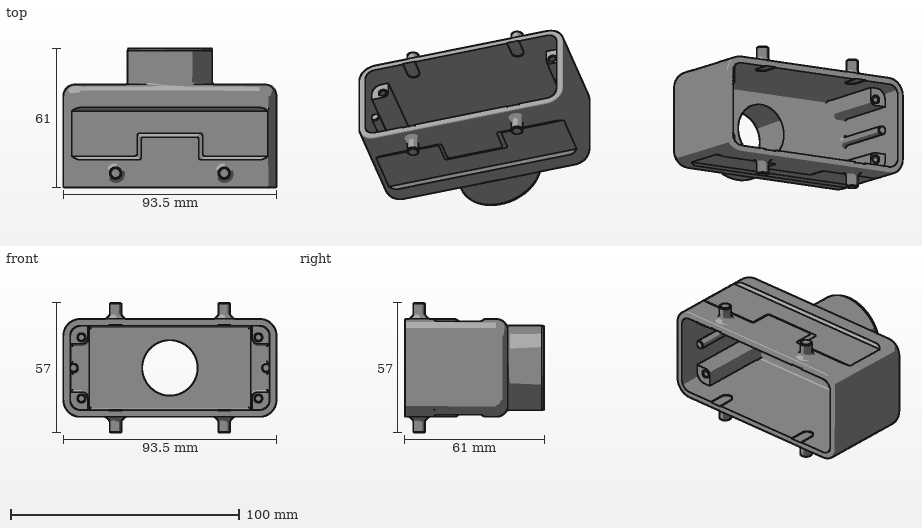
import cadquery as cq
import math

LENGTH = 93.5
HEIGHT = 43.0
DEPTH = 45.2
CORNER_RADIUS = 7.5
BACK_FILLET = 5.2
RIM_FILLET = 0.6

ENTRY_DIAMETER = 37.3
ENTRY_BORE = 24.2
TOTAL_DEPTH = 61.0
ENTRY_CHAMFER_LENGTH = 1.0
ENTRY_CHAMFER_INSET = 0.4
ENTRY_ROOT_FILLET = 0.8

WALL = 3.0
DRAFT = 0.75
FLOOR_Y = DEPTH - WALL
LEDGE_RISE = 3.0
LEDGE_Y = FLOOR_Y - LEDGE_RISE
CENTRAL_HALF_LENGTH = 35.35
FLOOR_FILLET = 0.9
LEDGE_FILLET = 0.9

POST_FACE_Y = 9.8
POST_INNER_X = 36.1
POST_INNER_Z = 10.6
POST_CORNER_RADIUS = 2.4
SCREW_X = 38.75
SCREW_Z = 13.4
SCREW_BORE = 2.9
SCREW_CHAMFER = 0.4
SCREW_CHAMFER_ANGLE = 45.0
SCREW_DEPTH = 12.0
RIB_X = 42.2
RIB_RADIUS = 1.9
RIB_ROOT_FILLET = 1.1
RIB_TIP_CHAMFER = 0.3

PIN_X = 23.8
PIN_Y = 6.3
PIN_DIAMETER = 5.2
PIN_SPAN = 57.0
PIN_TIP_CHAMFER = 0.5
PIN_CONE_RADIUS = 4.25
PIN_CONE_ANGLE = 45.0
PIN_UPPER_BLEND = 1.5
PIN_LOWER_BLEND = 1.1
PIN_RELIEF_WIDTH = 5.4
PIN_RELIEF_DEPTH = 0.3
PIN_RELIEF_END_Y = 9.6

PANEL_DEPTH = 0.97
PANEL_SLOPE = 60.0
PANEL_FRONT_Y = 13.8
PANEL_BACK_Y = 33.4
TAB_HALF_WIDTH = 14.3
TAB_BACK_Y = 23.8
TAB_CORNER_RADIUS = 2.4

OVERLAP = 1.0


def plane_at_y(y):
    """Plane across Y with local x along X; it extrudes towards the back."""
    return cq.Plane(origin=(0, y, 0), xDir=(1, 0, 0), normal=(0, 1, 0))


def make_shell():
    """Solid outer block with rounded corners, back and rim."""
    body = cq.Workplane(plane_at_y(0)).rect(LENGTH, HEIGHT).extrude(DEPTH)
    body = body.edges("|Y").fillet(CORNER_RADIUS)
    body = body.faces(">Y").edges().fillet(BACK_FILLET)
    return body.faces("<Y").edges().fillet(RIM_FILLET)


def make_entry():
    """Round cable entry, started inside the back wall."""
    entry = cq.Workplane(plane_at_y(FLOOR_Y - OVERLAP)).circle(ENTRY_DIAMETER / 2)
    entry = entry.extrude(TOTAL_DEPTH - FLOOR_Y + OVERLAP)
    return entry.faces(">Y").chamfer(ENTRY_CHAMFER_LENGTH, ENTRY_CHAMFER_INSET)


def make_post(side_x, side_z):
    """Drafted corner post, widening from its screw face to the floor and running into the walls."""
    size_x = LENGTH / 2 - POST_INNER_X
    size_z = HEIGHT / 2 - POST_INNER_Z
    post = (
        cq.Workplane(plane_at_y(POST_FACE_Y))
        .sketch()
        .rect(size_x, size_z)
        .vertices()
        .fillet(POST_CORNER_RADIUS)
        .finalize()
        .extrude(FLOOR_Y + OVERLAP - POST_FACE_Y, taper=-DRAFT)
    )
    middle_x = POST_INNER_X + size_x / 2
    middle_z = POST_INNER_Z + size_z / 2
    return post.translate((side_x * middle_x, 0, side_z * middle_z))


def make_rib(side_x):
    """Half-round rib with a flared root, rising from the ledge and merging with the end wall."""
    height = LEDGE_Y - POST_FACE_Y
    flare_radius = RIB_RADIUS + RIB_ROOT_FILLET
    flare_offset = RIB_ROOT_FILLET * math.sqrt(0.5)
    flare_middle = (flare_radius - flare_offset, RIB_ROOT_FILLET - flare_offset)
    rib = (
        cq.Workplane("XZ")
        .moveTo(0, -OVERLAP)
        .lineTo(flare_radius, -OVERLAP)
        .lineTo(flare_radius, 0)
        .threePointArc(flare_middle, (RIB_RADIUS, RIB_ROOT_FILLET))
        .lineTo(RIB_RADIUS, height - RIB_TIP_CHAMFER)
        .lineTo(RIB_RADIUS - RIB_TIP_CHAMFER, height)
        .lineTo(0, height)
        .close()
        .revolve(360, (0, 0), (0, 1))
    )
    return rib.rotate((0, 0, 0), (1, 0, 0), 90).translate((side_x * RIB_X, LEDGE_Y, 0))


def make_ledge(side_x):
    """Block that makes one end of the cavity shallower, rounded where it steps down to the floor."""
    length = LENGTH / 2 - CENTRAL_HALF_LENGTH
    ledge = cq.Workplane("XY").box(length, DEPTH - LEDGE_Y, HEIGHT)
    ledge = ledge.translate((side_x * (CENTRAL_HALF_LENGTH + length / 2), (DEPTH + LEDGE_Y) / 2, 0))
    inner_side = ">X" if side_x < 0 else "<X"
    return ledge.faces("<Y").edges(inner_side).fillet(LEDGE_FILLET)


def post_root(side_x):
    """Edges where the ledge meets its two posts and the end wall between them."""
    inner_x = side_x * (POST_INNER_X + POST_CORNER_RADIUS - OVERLAP)
    outer_x = side_x * LENGTH / 2
    half_z = POST_INNER_Z + POST_CORNER_RADIUS / 2
    near = (min(inner_x, outer_x), LEDGE_Y - OVERLAP / 2, -half_z)
    far = (max(inner_x, outer_x), LEDGE_Y + OVERLAP / 2, half_z)
    return cq.selectors.BoxSelector(near, far, boundingbox=True)


def make_cavity():
    """Hollow of the hood: a drafted pocket less the end ledges, posts and ribs."""
    cavity = (
        cq.Workplane(plane_at_y(0))
        .sketch()
        .rect(LENGTH - 2 * WALL, HEIGHT - 2 * WALL)
        .vertices()
        .fillet(CORNER_RADIUS - WALL)
        .finalize()
        .extrude(FLOOR_Y, taper=DRAFT)
    )
    for side_x in (-1, 1):
        cavity = cavity.cut(make_ledge(side_x))
    cavity = cavity.faces(">Y").edges().fillet(FLOOR_FILLET)
    for side_x in (-1, 1):
        for side_z in (-1, 1):
            cavity = cavity.cut(make_post(side_x, side_z))
        cavity = cavity.edges(post_root(side_x)).fillet(FLOOR_FILLET)
        cavity = cavity.cut(make_rib(side_x))
    return cavity


def arc_point(centre, radius, degrees):
    """Point on a circle at an angle measured from the first axis."""
    angle = math.radians(degrees)
    return (centre[0] + radius * math.cos(angle), centre[1] + radius * math.sin(angle))


def make_pin(x, side_z):
    """Locking pin on a long face; a 45 degree cone at its root is blended into pin and face."""
    height = (PIN_SPAN - HEIGHT) / 2
    radius = PIN_DIAMETER / 2
    blend_reach = math.tan(math.radians(PIN_CONE_ANGLE / 2))
    cone_tangent = 180 + PIN_CONE_ANGLE
    upper_middle = 180 + PIN_CONE_ANGLE / 2
    lower_middle = 270 - PIN_CONE_ANGLE / 2
    upper_z = PIN_CONE_RADIUS - radius + PIN_UPPER_BLEND * blend_reach
    upper_centre = (radius + PIN_UPPER_BLEND, upper_z)
    lower_centre = (PIN_CONE_RADIUS + PIN_LOWER_BLEND * blend_reach, PIN_LOWER_BLEND)
    pin = (
        cq.Workplane("XZ")
        .moveTo(0, -OVERLAP)
        .lineTo(lower_centre[0], -OVERLAP)
        .lineTo(lower_centre[0], 0)
        .threePointArc(
            arc_point(lower_centre, PIN_LOWER_BLEND, lower_middle),
            arc_point(lower_centre, PIN_LOWER_BLEND, cone_tangent),
        )
        .lineTo(*arc_point(upper_centre, PIN_UPPER_BLEND, cone_tangent))
        .threePointArc(
            arc_point(upper_centre, PIN_UPPER_BLEND, upper_middle),
            arc_point(upper_centre, PIN_UPPER_BLEND, 180),
        )
        .lineTo(radius, height - PIN_TIP_CHAMFER)
        .lineTo(radius - PIN_TIP_CHAMFER, height)
        .lineTo(0, height)
        .close()
        .revolve(360, (0, 0), (0, 1))
    )
    if side_z < 0:
        pin = pin.rotate((0, 0, 0), (1, 0, 0), 180)
    return pin.translate((x, PIN_Y, side_z * HEIGHT / 2))


def make_pin_relief(x, side_z):
    """Shallow round-ended groove inside the long wall, from the opening to behind the pin."""
    half_thickness = PIN_RELIEF_DEPTH + OVERLAP
    relief = cq.Workplane("XY").slot2D(2 * PIN_RELIEF_END_Y, PIN_RELIEF_WIDTH, 90)
    relief = relief.extrude(half_thickness, both=True)
    groove_z = HEIGHT / 2 - WALL + PIN_RELIEF_DEPTH
    return relief.translate((x, 0, side_z * (groove_z - half_thickness)))


def make_panel(side_z):
    """Cutter for the sunken panel: sloped edges along its front and back, open at both ends."""
    cut_height = PANEL_DEPTH + OVERLAP / 2
    slope_run = cut_height * math.tan(math.radians(PANEL_SLOPE))
    floor_z = HEIGHT / 2 - PANEL_DEPTH
    top_z = floor_z + cut_height
    panel = (
        cq.Workplane("YZ")
        .moveTo(PANEL_FRONT_Y, floor_z)
        .lineTo(PANEL_BACK_Y, floor_z)
        .lineTo(PANEL_BACK_Y + slope_run, top_z)
        .lineTo(PANEL_FRONT_Y - slope_run, top_z)
        .close()
        .extrude(LENGTH / 2 + OVERLAP, both=True)
    )
    tab = (
        cq.Workplane("XY", origin=(0, 0, floor_z))
        .rect(2 * TAB_HALF_WIDTH, 2 * TAB_BACK_Y)
        .extrude(cut_height, taper=PANEL_SLOPE)
    )
    panel = panel.cut(tab)
    tab_zone = cq.selectors.BoxSelector(
        (-TAB_HALF_WIDTH - OVERLAP, 0, 0), (TAB_HALF_WIDTH + OVERLAP, DEPTH, HEIGHT), boundingbox=True
    )
    panel = panel.edges("not #Z").edges(tab_zone).fillet(TAB_CORNER_RADIUS)
    return panel if side_z > 0 else panel.mirror("XY")


def make_screw_hole(side_x, side_z):
    """Blind hole in a post face with a countersunk mouth."""
    hole = cq.Workplane(plane_at_y(POST_FACE_Y)).circle(SCREW_BORE / 2).extrude(SCREW_DEPTH)
    mouth = cq.Workplane(plane_at_y(POST_FACE_Y)).circle(SCREW_BORE / 2 + SCREW_CHAMFER)
    mouth = mouth.extrude(SCREW_CHAMFER, taper=SCREW_CHAMFER_ANGLE)
    return hole.union(mouth).translate((side_x * SCREW_X, 0, side_z * SCREW_Z))


def entry_root():
    """Edges where the cable entry meets the back of the shell."""
    half_width = ENTRY_DIAMETER / 2 + OVERLAP
    near = (-half_width, DEPTH - BACK_FILLET, -half_width)
    far = (half_width, DEPTH + OVERLAP, half_width)
    return cq.selectors.BoxSelector(near, far, boundingbox=True)


def make_bore():
    """Straight cable bore through the back wall and the entry."""
    return cq.Workplane(plane_at_y(0)).circle(ENTRY_BORE / 2).extrude(TOTAL_DEPTH)


result = make_shell().union(make_entry())
result = result.edges(entry_root()).fillet(ENTRY_ROOT_FILLET)
result = result.cut(make_cavity())
result = result.cut(make_bore())

for side_z in (-1, 1):
    result = result.cut(make_panel(side_z))
    for side_x in (-1, 1):
        result = result.union(make_pin(side_x * PIN_X, side_z))
        result = result.cut(make_pin_relief(side_x * PIN_X, side_z))
        result = result.cut(make_screw_hole(side_x, side_z))